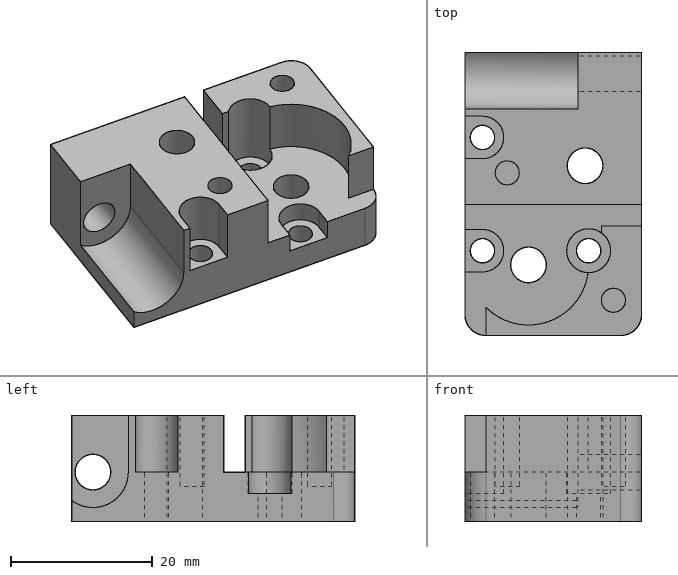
import cadquery as cq

LENGTH_X = 25.0
LENGTH_Y = 40.0
HEIGHT = 15.0
CORNER_RADIUS = 3.0

DECK_Z = 7.0
REAR_BLOCK_Y = 18.5

POST_LEFT_X = CORNER_RADIUS
POST_BACK_Y = 15.5
POST_INNER_X = 19.3
POST_ARC_RADIUS = 8.5

BORE_DIAMETER = 5.0
FRONT_BORE = (9.0, 10.0)
REAR_BORE = (17.0, 24.0)

SCREW_DIAMETER = 3.4
SIDE_SCREW_X = 2.5
FRONT_SCREW_Y = 12.0
REAR_SCREW_Y = 28.0
INNER_SCREW = (17.5, FRONT_SCREW_Y)
SIDE_SLOT_WIDTH = 6.0
COUNTERBORE_DIAMETER = 6.2
FRONT_SEAT_Z = 4.0
REAR_SEAT_Z = DECK_Z

BLIND_HOLES = [(6.0, 23.0), (21.0, 5.0)]
BLIND_DEPTH = 10.0

CROSS_HOLE_DIAMETER = 5.0
CROSS_Y = 37.0
CROSS_Z = DECK_Z
RECESS_RADIUS = 5.0
RECESS_LENGTH = 16.0


def box(x_min, x_max, y_min, y_max, z_min, z_max):
    size = (x_max - x_min, y_max - y_min, z_max - z_min)
    return cq.Workplane("XY").box(*size, centered=False).translate((x_min, y_min, z_min))


def vertical_cylinder(center, diameter, z_min):
    """Cylinder from z_min up to the top face."""
    plane = cq.Workplane("XY").workplane(offset=z_min)
    return plane.center(*center).circle(diameter / 2).extrude(HEIGHT - z_min)


def cylinder_along_x(radius, length):
    """Cylinder on the cross hole axis, starting at the left side."""
    return cq.Workplane("YZ").center(CROSS_Y, CROSS_Z).circle(radius).extrude(length)


def side_slot(y, floor_z):
    """Round-ended counterbore slot that opens through the left side."""
    half_width = SIDE_SLOT_WIDTH / 2
    channel = box(0, SIDE_SCREW_X, y - half_width, y + half_width, floor_z, HEIGHT)
    return channel.union(vertical_cylinder((SIDE_SCREW_X, y), SIDE_SLOT_WIDTH, floor_z))


def base_block():
    block = box(0, LENGTH_X, 0, LENGTH_Y, 0, HEIGHT)
    return block.faces("<Y").edges("|Z").fillet(CORNER_RADIUS)


def corner_post():
    """Post on the deck, cleared behind the inner screw and around the front bore."""
    post = box(POST_LEFT_X, LENGTH_X, 0, POST_BACK_Y, DECK_Z, HEIGHT)
    post = post.cut(box(POST_LEFT_X, POST_INNER_X, INNER_SCREW[1], POST_BACK_Y, DECK_Z, HEIGHT))
    return post.cut(vertical_cylinder(FRONT_BORE, 2 * POST_ARC_RADIUS, DECK_Z))


def deck_cutter():
    """Everything removed above the deck, leaving the corner post."""
    return box(0, LENGTH_X, 0, REAR_BLOCK_Y, DECK_Z, HEIGHT).cut(corner_post())


def cross_recess():
    """Round-bottomed recess that opens upward and through the left and back."""
    upper = box(0, RECESS_LENGTH, CROSS_Y - RECESS_RADIUS, LENGTH_Y, CROSS_Z, HEIGHT)
    return upper.union(cylinder_along_x(RECESS_RADIUS, RECESS_LENGTH))


result = base_block().cut(deck_cutter()).cut(cross_recess())
result = result.cut(cylinder_along_x(CROSS_HOLE_DIAMETER / 2, LENGTH_X))

for slot_y, seat_z in [(FRONT_SCREW_Y, FRONT_SEAT_Z), (REAR_SCREW_Y, REAR_SEAT_Z)]:
    result = result.cut(side_slot(slot_y, seat_z))
    result = result.cut(vertical_cylinder((SIDE_SCREW_X, slot_y), SCREW_DIAMETER, 0))

result = result.cut(vertical_cylinder(INNER_SCREW, COUNTERBORE_DIAMETER, FRONT_SEAT_Z))
result = result.cut(vertical_cylinder(INNER_SCREW, SCREW_DIAMETER, 0))

for bore in [FRONT_BORE, REAR_BORE]:
    result = result.cut(vertical_cylinder(bore, BORE_DIAMETER, 0))

for hole in BLIND_HOLES:
    result = result.cut(vertical_cylinder(hole, SCREW_DIAMETER, HEIGHT - BLIND_DEPTH))